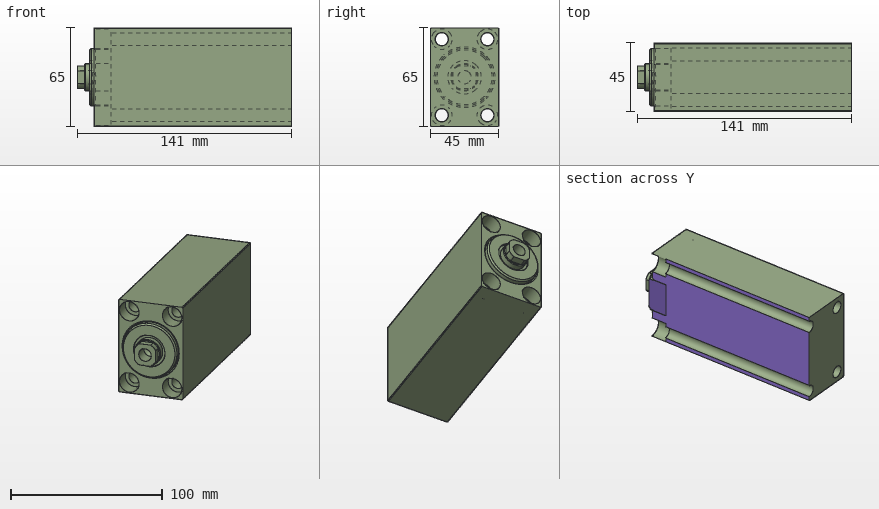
import cadquery as cq
import math


overall_length = 141.0

block_length = 130.0
block_width = 45.0
block_height = 65.0
edge_chamfer = 0.5

hole_pitch_y = 30.0
hole_pitch_z = 50.0
hole_diameter = 8.5
counterbore_diameter = 13.5
counterbore_depth = 11.0

gland_diameter = 38.0
gland_projection = 3.0
gland_chamfer_length = 1.1
gland_chamfer_height = 1.0
bore_depth = 11.0
bore_chamfer = 1.0
wiper_recess_diameter = 22.0
wiper_recess_depth = 1.4

rod_diameter = 18.0
rod_shoulder_chamfer = 0.5
rod_projection = overall_length - block_length
flats_length = 4.8
flats_width = 15.0
flats_round_diameter = rod_diameter - 2 * rod_shoulder_chamfer
rod_hole_diameter = 8.7
rod_hole_depth = 10.0
drill_point_angle = 118.0


def cylinder(diameter, start, length):
    """Cylinder on the X axis, from X = start toward +X."""
    return cq.Workplane("YZ", origin=(start, 0, 0)).circle(diameter / 2).extrude(length)


def cone(start_diameter, end_diameter, start, length):
    """Cone frustum on the X axis; an end diameter of zero gives a point."""
    solid = cq.Solid.makeCone(
        start_diameter / 2, end_diameter / 2, length, cq.Vector(start, 0, 0), cq.Vector(1, 0, 0)
    )
    return cq.Workplane(obj=solid)


def make_housing():
    housing = cq.Workplane("YZ").rect(block_width, block_height).extrude(block_length)
    housing = housing.edges("|X").chamfer(edge_chamfer)

    housing = housing.cut(cylinder(gland_diameter, 0, bore_depth))
    mouth_diameter = gland_diameter + 2 * bore_chamfer
    housing = housing.cut(cone(mouth_diameter, gland_diameter, 0, bore_chamfer))

    for side_y in (-1, 1):
        for side_z in (-1, 1):
            center = (0, side_y * hole_pitch_y / 2, side_z * hole_pitch_z / 2)
            housing = housing.cut(cylinder(hole_diameter, 0, block_length).translate(center))
            housing = housing.cut(cylinder(counterbore_diameter, 0, counterbore_depth).translate(center))
    return housing


def make_gland():
    front = -gland_projection
    body_start = front + gland_chamfer_length
    gland = cylinder(gland_diameter, body_start, bore_depth - body_start)
    front_diameter = gland_diameter - 2 * gland_chamfer_height
    gland = gland.union(cone(front_diameter, gland_diameter, front, gland_chamfer_length))

    gland = gland.cut(cylinder(rod_diameter, front, bore_depth - front))
    return gland.cut(cylinder(wiper_recess_diameter, front, wiper_recess_depth))


def make_rod():
    tip = -rod_projection
    shoulder = tip + flats_length
    body_start = shoulder + rod_shoulder_chamfer
    rod = cylinder(rod_diameter, body_start, bore_depth - body_start)
    rod = rod.union(cone(flats_round_diameter, rod_diameter, shoulder, rod_shoulder_chamfer))

    square = cq.Workplane("YZ", origin=(tip, 0, 0)).rect(flats_width, flats_width).extrude(flats_length)
    rod = rod.union(cylinder(flats_round_diameter, tip, flats_length).intersect(square))

    point_length = rod_hole_diameter / 2 / math.tan(math.radians(drill_point_angle / 2))
    rod = rod.cut(cylinder(rod_hole_diameter, tip, rod_hole_depth))
    return rod.cut(cone(rod_hole_diameter, 0, tip + rod_hole_depth, point_length))


housing = make_housing()
gland = make_gland()
rod = make_rod()

result = cq.Compound.makeCompound([housing.val(), gland.val(), rod.val()])